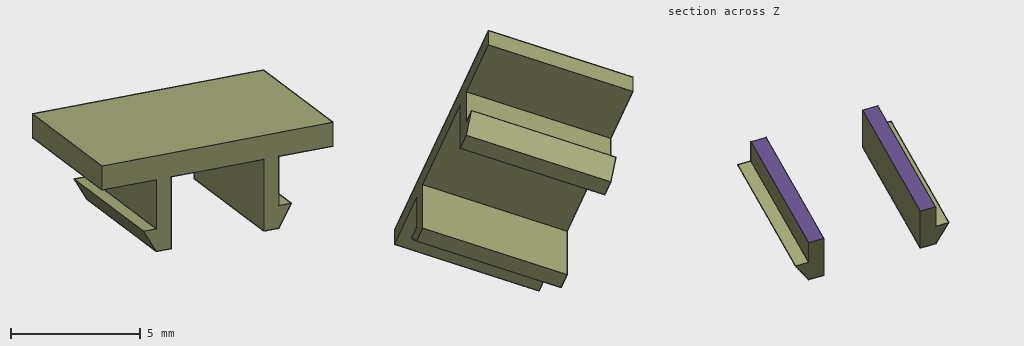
import cadquery as cq

width = 6.0
length = 10.0
height = 4.0
plate_thickness = 1.0

leg_gap = 4.0
leg_thickness = 0.65
barb_overhang = 0.55
barb_height = 0.95

plate_underside = height - plate_thickness


def make_plate():
    return cq.Workplane("XY").workplane(offset=plate_underside).box(
        width, length, plate_thickness, centered=(True, True, False)
    )


def make_snap_leg(side):
    """Leg with an outward barb; side is +1 or -1 along Y."""
    inner = leg_gap / 2
    outer = inner + leg_thickness
    profile = [
        (inner, plate_underside),
        (inner, 0),
        (outer, 0),
        (outer + barb_overhang, barb_height),
        (outer, barb_height),
        (outer, plate_underside),
    ]
    points = [(side * y, z) for y, z in profile]
    return cq.Workplane("YZ").polyline(points).close().extrude(width / 2, both=True)


result = make_plate()
for side in (-1, 1):
    result = result.union(make_snap_leg(side))